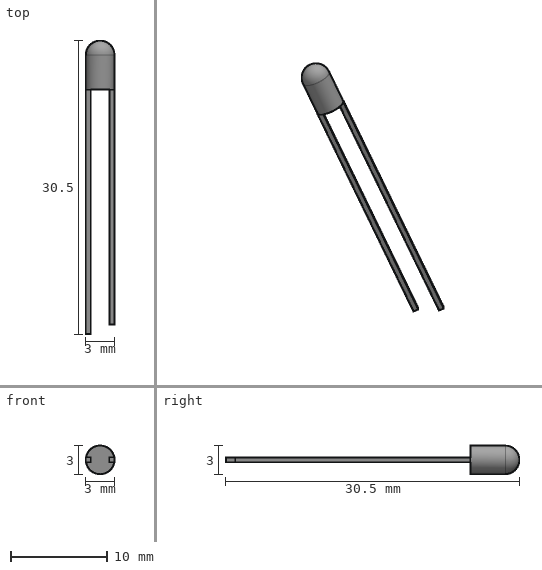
import cadquery as cq
import math


overall_length = 30.51
lens_diameter = 3.0
lens_radius = lens_diameter / 2
long_lead_length = 25.4
lead_length_difference = 1.0
short_lead_length = long_lead_length - lead_length_difference
lead_width = 0.54
lead_thickness = 0.5

lens_length = overall_length - long_lead_length
barrel_length = lens_length - lens_radius
lead_offset = lens_radius - lead_width / 2


def make_lens():
    """Cylindrical barrel with a hemispherical dome, revolved about the Y axis."""
    dome_mid = lens_radius * math.sqrt(0.5)
    half_profile = (
        cq.Workplane("XY")
        .lineTo(lens_radius, 0)
        .lineTo(lens_radius, barrel_length)
        .threePointArc((dome_mid, barrel_length + dome_mid), (0, lens_length))
        .close()
    )
    return half_profile.revolve(360, (0, 0, 0), (0, 1, 0))


def make_lead(center_x, length):
    """Straight rectangular lead that starts on the base face of the lens and runs to -Y."""
    return (
        cq.Workplane("XZ")
        .center(center_x, 0)
        .rect(lead_width, lead_thickness)
        .extrude(length)
    )


lens = make_lens()
leads = [
    make_lead(center_x, length)
    for center_x, length in ((-lead_offset, long_lead_length), (lead_offset, short_lead_length))
]

result = cq.Compound.makeCompound([lens.val(), *[lead.val() for lead in leads]])